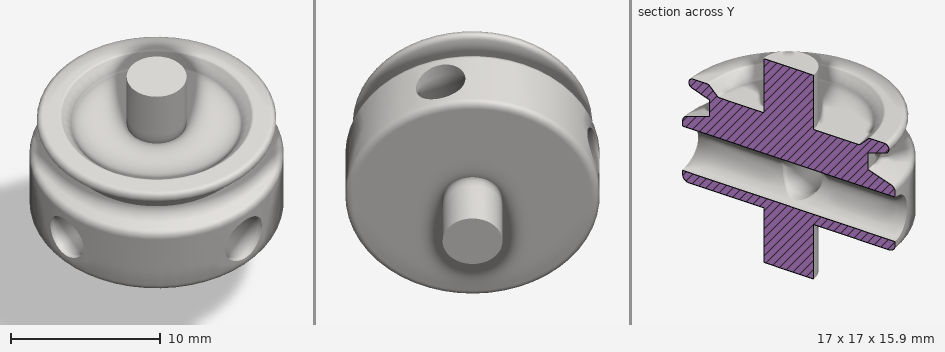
import cadquery as cq
import math


shaft_diameter = 4.0
shaft_bottom = -4.24
shaft_length = 15.89

drum_radius = 16.99 / 2
drum_height = 5.03
drum_edge_radius = 0.5

groove_radius = 12.7 / 2
groove_width = 1.27
flank_angle = 18.0

rim_radius = 8.0
rim_edge_radius = 0.39

recess_depth = 0.77
recess_top_radius = 6.41
recess_wall_angle = 45.0
recess_edge_radius = 0.25

hole_height = 2.54
hole_diameter_along_x = 3.42
hole_diameter_along_y = 3.17

flank_slope = math.tan(math.radians(flank_angle))
groove_bottom = drum_height + (drum_radius - groove_radius) * flank_slope
groove_top = groove_bottom + groove_width
recess_floor_radius = recess_top_radius - recess_depth / math.tan(math.radians(recess_wall_angle))


def point_on_circle(center, radius, angle_deg):
    """Point at an angle measured from the +radial direction toward +Z."""
    angle = math.radians(angle_deg)
    return (center[0] + radius * math.cos(angle), center[1] + radius * math.sin(angle))


def add_arc(profile, center, radius, start_deg, end_deg):
    """Run the profile straight to the arc's start, then along the arc."""
    start = point_on_circle(center, radius, start_deg)
    middle = point_on_circle(center, radius, (start_deg + end_deg) / 2)
    end = point_on_circle(center, radius, end_deg)
    return profile.lineTo(*start).threePointArc(middle, end)


def drum_upper_edge_center():
    """Center of the round between the drum wall and the lower flank."""
    radial = drum_radius - drum_edge_radius
    half_corner = math.radians((90 + flank_angle) / 2)
    return (radial, drum_height - drum_edge_radius / math.tan(half_corner))


def rim_edge_center():
    """Center of the rim's rounded edge, tangent to the upper flank."""
    radial = rim_radius - rim_edge_radius
    flank_height = groove_top + (radial - groove_radius) * flank_slope
    return (radial, flank_height + rim_edge_radius / math.cos(math.radians(flank_angle)))


def recess_edge_centers(top):
    """Centers of the rounds at the recess mouth (convex) and floor (concave)."""
    offset = recess_edge_radius * math.tan(math.radians(recess_wall_angle / 2))
    mouth = (recess_top_radius + offset, top - recess_edge_radius)
    floor = (recess_floor_radius - offset, top - recess_depth + recess_edge_radius)
    return mouth, floor


def make_pulley():
    """Drum, groove, rim and recess as one revolved profile."""
    rim_center = rim_edge_center()
    top = rim_center[1] + rim_edge_radius
    mouth_center, floor_center = recess_edge_centers(top)
    drum_lower_center = (drum_radius - drum_edge_radius, drum_edge_radius)

    profile = cq.Workplane("XZ").moveTo(0, 0)
    profile = add_arc(profile, drum_lower_center, drum_edge_radius, -90, 0)
    profile = add_arc(profile, drum_upper_edge_center(), drum_edge_radius, 0, 90 - flank_angle)
    profile = profile.lineTo(groove_radius, groove_bottom).lineTo(groove_radius, groove_top)
    profile = add_arc(profile, rim_center, rim_edge_radius, flank_angle - 90, 90)
    profile = add_arc(profile, mouth_center, recess_edge_radius, 90, 90 + recess_wall_angle)
    profile = add_arc(profile, floor_center, recess_edge_radius, recess_wall_angle - 90, -90)
    profile = profile.lineTo(0, top - recess_depth).close()
    return profile.revolve(360, (0, 0, 0), (0, 1, 0))


def make_shaft():
    return cq.Workplane("XY").workplane(offset=shaft_bottom).circle(shaft_diameter / 2).extrude(shaft_length)


def make_cross_hole(plane, diameter):
    """Cylinder normal to the plane, long enough to pass through the drum."""
    return cq.Workplane(plane).center(0, hole_height).circle(diameter / 2).extrude(2 * drum_radius, both=True)


result = (
    make_pulley()
    .union(make_shaft())
    .cut(make_cross_hole("YZ", hole_diameter_along_x))
    .cut(make_cross_hole("XZ", hole_diameter_along_y))
)